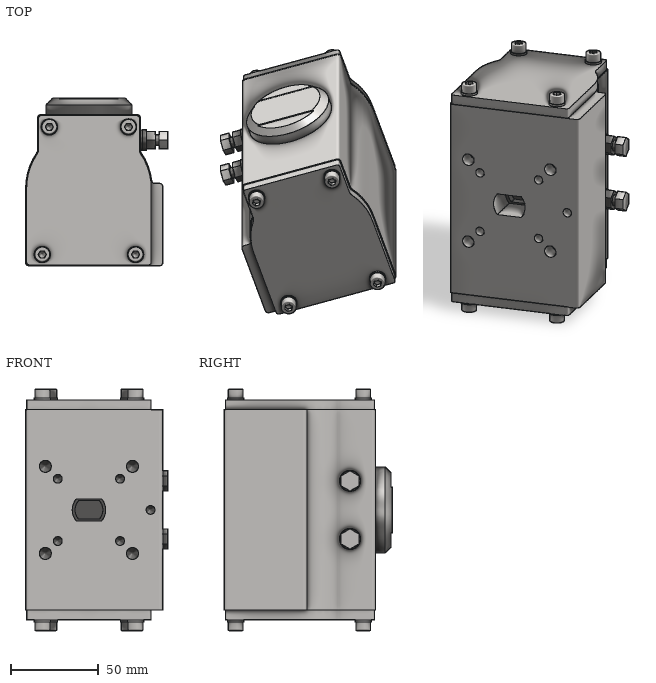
import cadquery as cq
import math

body_length = 114.0
body_depth = 86.0
bore_radius = 36.0
bore_axis_y = 44.0
neck_half_width = 29.3
flange_right = 42.0
flange_top_y = 47.0
flange_root_radius = 1.5
corner_radius = 2.0
neck_root_radius = 2.0
selection_margin = 0.1

cover_thickness = 5.5
cover_inset = 0.6
cover_corner_radius = 1.5
cover_neck_root_radius = 3.5
cover_face_z = body_length / 2 + cover_thickness

overall_length = 137.34
washer_diameter = 9.3
washer_thickness = 1.2
screw_head_diameter = 8.5
screw_head_top_z = overall_length / 2
screw_edge_radius = 0.7
socket_across_flats = 4.0
socket_depth = 2.5
screw_places = [(-22.5, 79.0), (22.5, 79.0), (-26.5, 6.5), (26.5, 6.5)]

drill_tip_angle = 118.0
large_hole_diameter = 6.8
large_hole_circle = 70.0
small_hole_diameter = 5.0
small_hole_circle = 50.0
mount_hole_depth = 12.0
side_hole_x = 35.0

socket_mouth_diameter = 19.0
socket_mouth_flats = 12.5
socket_mouth_depth = 20.0
socket_inner_diameter = 15.8
socket_inner_flats = 10.5
socket_inner_depth = 25.0

stop_screw_y = 71.5
stop_screw_z = 16.5
stop_seal_diameter = 11.6
stop_washer_diameter = 12.0
stop_stud_diameter = 6.3
stop_hex_across_flats = 10.0
stop_seal_end_x = 30.5
stop_washer_end_x = 32.7
stop_nut_end_x = 37.7
stop_head_start_x = 39.9
stop_head_end_x = 44.88

overall_depth = 95.5
indicator_height = overall_depth - body_depth
indicator_diameter = 49.0
indicator_chamfer = 4.0
pointer_width = 26.0
pointer_height = 0.6


def edges_near(x, y, half_width):
    """Selector for the lengthwise edges at height y, within half_width of x."""
    return cq.selectors.BoxSelector(
        (x - half_width - selection_margin, y - selection_margin, -overall_length),
        (x + half_width + selection_margin, y + selection_margin, overall_length),
    )


def symmetric_prism(inset, convex_radius, concave_radius, start_z, length):
    """Prism with a square base, round flanks and a narrower neck, set in all round by the inset."""
    flank_radius = bore_radius - inset
    half_neck = neck_half_width - inset
    base_y = inset
    top_y = body_depth - inset
    shoulder_rise = math.sqrt(flank_radius**2 - half_neck**2)
    shoulder_y = bore_axis_y + shoulder_rise
    mid_angle = math.asin(shoulder_rise / flank_radius) / 2
    mid_x = flank_radius * math.cos(mid_angle)
    mid_y = bore_axis_y + flank_radius * math.sin(mid_angle)
    prism = (
        cq.Workplane("XY", origin=(0, 0, start_z))
        .moveTo(-flank_radius, base_y)
        .lineTo(flank_radius, base_y)
        .lineTo(flank_radius, bore_axis_y)
        .threePointArc((mid_x, mid_y), (half_neck, shoulder_y))
        .lineTo(half_neck, top_y)
        .lineTo(-half_neck, top_y)
        .lineTo(-half_neck, shoulder_y)
        .threePointArc((-mid_x, mid_y), (-flank_radius, bore_axis_y))
        .close()
        .extrude(length)
    )
    for y, radius in ((base_y, convex_radius), (top_y, convex_radius), (shoulder_y, concave_radius)):
        prism = prism.edges("|Z").edges(edges_near(0, y, bore_radius)).fillet(radius)
    return prism


def side_flange():
    """Flat flange standing out on the +X side of the body."""
    return (
        cq.Workplane("XY")
        .rect(flange_right, flange_top_y, centered=False)
        .extrude(body_length / 2, both=True)
        .edges("|Z and >X")
        .fillet(corner_radius)
    )


def covers():
    """Two end covers that follow the outline of the body, set in by a small margin."""
    upper = symmetric_prism(
        cover_inset, cover_corner_radius, cover_neck_root_radius, body_length / 2, cover_thickness
    )
    return upper.union(upper.mirror("XY"))


def drill_tip_height(radius):
    return radius / math.tan(math.radians(drill_tip_angle / 2))


def cover_screw(x, y):
    """Socket head screw on its washer, standing on the upper cover."""
    seat = cq.Workplane("XY", origin=(x, y, cover_face_z))
    washer = seat.circle(washer_diameter / 2).extrude(washer_thickness)
    head = (
        seat
        .circle(screw_head_diameter / 2)
        .extrude(screw_head_top_z - cover_face_z)
        .faces(">Z")
        .edges()
        .fillet(screw_edge_radius)
    )
    floor_z = screw_head_top_z - socket_depth
    socket_radius = socket_across_flats / 2
    socket = (
        cq.Workplane("XY", origin=(x, y, floor_z))
        .polygon(6, socket_across_flats / math.cos(math.pi / 6))
        .extrude(socket_depth)
    )
    tip = cq.Solid.makeCone(
        socket_radius, 0, drill_tip_height(socket_radius), cq.Vector(x, y, floor_z), cq.Vector(0, 0, -1)
    )
    return washer.union(head).cut(socket).cut(cq.Workplane(tip))


def drilled_hole(x, z, diameter):
    """Blind hole with a drill tip, entering the mounting face along +Y."""
    radius = diameter / 2
    tip = drill_tip_height(radius)
    return (
        cq.Workplane("XY", origin=(x, 0, z))
        .polyline([(0, 0), (radius, 0), (radius, mount_hole_depth), (0, mount_hole_depth + tip)])
        .close()
        .revolve(360, (0, 0, 0), (0, 1, 0))
    )


def square_places(circle_diameter):
    """Corners of a square whose corners lie on the given circle."""
    half = circle_diameter / 2 / math.sqrt(2)
    return [(sx * half, sz * half) for sx in (-1, 1) for sz in (-1, 1)]


def double_d(diameter, across_flats, depth):
    """Round plug with two flats facing up and down, reaching from Y = 0 into the body."""
    plug = cq.Workplane("XZ").circle(diameter / 2).extrude(-depth)
    flats = cq.Workplane("XZ").rect(diameter, across_flats).extrude(-depth)
    return plug.intersect(flats)


def stop_screw(z):
    """Seal, washer, lock nut and hex head on a stud that leaves the neck along +X."""
    def plane(x):
        return cq.Workplane("YZ", origin=(x, stop_screw_y, z))

    def hexagon(start, end):
        corner_diameter = stop_hex_across_flats / math.cos(math.pi / 6)
        return plane(start).transformed(rotate=(0, 0, 90)).polygon(6, corner_diameter).extrude(end - start)

    def disc(diameter, start, end):
        return plane(start).circle(diameter / 2).extrude(end - start)

    seal = disc(stop_seal_diameter, neck_half_width, stop_seal_end_x)
    washer = disc(stop_washer_diameter, stop_seal_end_x, stop_washer_end_x)
    stud = disc(stop_stud_diameter, stop_washer_end_x, stop_head_end_x)
    nut = hexagon(stop_washer_end_x, stop_nut_end_x)
    head = hexagon(stop_head_start_x, stop_head_end_x)
    return seal.union(washer).union(stud).union(nut).union(head)


def make_housing():
    housing = symmetric_prism(0, corner_radius, neck_root_radius, -body_length / 2, body_length)
    housing = housing.union(side_flange())
    flange_root_x = math.sqrt(bore_radius**2 - (flange_top_y - bore_axis_y) ** 2)
    flange_root = edges_near(flange_root_x, flange_top_y, 0)
    housing = housing.edges("|Z").edges(flange_root).fillet(flange_root_radius)
    housing = housing.union(covers())
    for x, y in screw_places:
        screw = cover_screw(x, y)
        housing = housing.union(screw).union(screw.mirror("XY"))
    for z in (-stop_screw_z, stop_screw_z):
        housing = housing.union(stop_screw(z))
    for x, z in square_places(large_hole_circle):
        housing = housing.cut(drilled_hole(x, z, large_hole_diameter))
    for x, z in square_places(small_hole_circle) + [(side_hole_x, 0)]:
        housing = housing.cut(drilled_hole(x, z, small_hole_diameter))
    housing = housing.cut(double_d(socket_mouth_diameter, socket_mouth_flats, socket_mouth_depth))
    return housing.cut(double_d(socket_inner_diameter, socket_inner_flats, socket_inner_depth))


def make_indicator():
    """Chamfered round cap on the back face with a raised pointer bar across it."""
    cap = (
        cq.Workplane("XZ", origin=(0, body_depth, 0))
        .circle(indicator_diameter / 2)
        .extrude(-indicator_height)
        .faces(">Y")
        .edges()
        .chamfer(indicator_chamfer)
    )
    pointer_base = cq.Workplane("XZ", origin=(0, overall_depth - pointer_height, 0))
    recess = (
        pointer_base
        .rect(indicator_diameter, indicator_diameter)
        .rect(indicator_diameter, pointer_width)
        .extrude(-pointer_height)
    )
    return cap.cut(recess)


housing = make_housing()
indicator = make_indicator()
result = cq.Compound.makeCompound([housing.val(), indicator.val()])